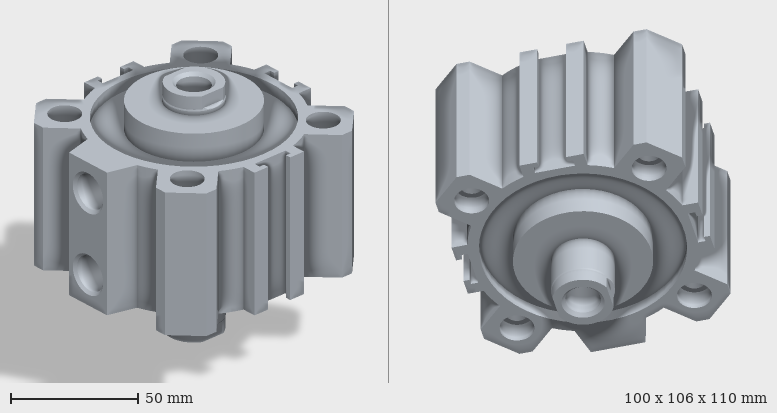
import cadquery as cq
import math


HOUSING_HEIGHT = 63.8
HOUSING_WIDTH = 100.0
CORE_RADIUS = 45.5
LUG_WIDTH = 23.8
LUG_TIP_FROM_AXIS = 62.6

BOLT_OFFSET = 36.0
BOLT_DIAMETER = 9.5
COUNTERBORE_DIAMETER = 13.8
COUNTERBORE_DEPTH = 8.8

RAIL_WIDTH = 26.1
SLOT_MOUTH_WIDTH = 11.7
SLOT_INNER_WIDTH = 16.3
SLOT_LIP_THICKNESS = 2.4
SLOT_DEPTH = 5.4

OVERALL_DEPTH = 106.0
PORT_FACE_FROM_AXIS = OVERALL_DEPTH - HOUSING_WIDTH / 2
PORT_FACE_WIDTH = 22.2
PORT_BLOCK_SIDE_ANGLE = 14.6
PORT_BLOCK_LENGTH = 17.6
PORT_DIAMETER = 15.4
PORT_DEPTH = 16.5
PORT_CHAMFER = 1.2
PORT_FROM_END = 13.6

RECESS_DIAMETER = 81.8
RECESS_DEPTH = 5.1
FLANGE_DIAMETER = 55.1
FLANGE_PROTRUSION = 7.5

ROD_LENGTH = 110.0
ROD_DIAMETER = 25.2
ROD_TOP_PROTRUSION = 15.7
ROD_END_DIAMETER = 24.6
ROD_END_LENGTH = 5.8
ROD_SHOULDER_HEIGHT = 0.7
FLATS_WIDTH = 22.0
FLATS_LENGTH = 5.5
FLATS_RUNOUT_ANGLE = 30.0
ROD_HOLE_DIAMETER = 14.1
ROD_HOLE_DEPTH = 19.8
ROD_HOLE_CHAMFER = 1.4
DRILL_POINT_ANGLE = 118.0

HOUSING_HALF = HOUSING_WIDTH / 2
ROD_RADIUS = ROD_DIAMETER / 2
ROD_TOP = HOUSING_HEIGHT + ROD_TOP_PROTRUSION
ROD_BOTTOM = ROD_TOP - ROD_LENGTH


def corner_lugs():
    """Two crossed diagonal bars, trimmed square to the housing width."""
    bars = cq.Workplane("XY")
    for angle in (45, 135):
        bar = (
            cq.Workplane("XY")
            .rect(2 * LUG_TIP_FROM_AXIS, LUG_WIDTH)
            .extrude(HOUSING_HEIGHT)
            .rotate((0, 0, 0), (0, 0, 1), angle)
        )
        bars = bars.add(bar)
    envelope = cq.Workplane("XY").rect(HOUSING_WIDTH, HOUSING_WIDTH).extrude(HOUSING_HEIGHT)
    return bars.combine().intersect(envelope)


def rail_bar():
    """Solid bar from the axis to the +X side of the housing."""
    return (
        cq.Workplane("XY")
        .center(HOUSING_HALF / 2, 0)
        .rect(HOUSING_HALF, RAIL_WIDTH)
        .extrude(HOUSING_HEIGHT)
    )


def rail_slot():
    """T-slot opening to the +X side of the housing."""
    inner_depth = SLOT_DEPTH - SLOT_LIP_THICKNESS
    mouth = (
        cq.Workplane("XY")
        .center(HOUSING_HALF - SLOT_DEPTH / 2, 0)
        .rect(SLOT_DEPTH, SLOT_MOUTH_WIDTH)
        .extrude(HOUSING_HEIGHT)
    )
    inner = (
        cq.Workplane("XY")
        .center(HOUSING_HALF - SLOT_DEPTH + inner_depth / 2, 0)
        .rect(inner_depth, SLOT_INNER_WIDTH)
        .extrude(HOUSING_HEIGHT)
    )
    return mouth.union(inner)


def port_block():
    """Block that widens from the port face and runs into the round core."""
    base_y = PORT_BLOCK_LENGTH - PORT_FACE_FROM_AXIS
    face_half = PORT_FACE_WIDTH / 2
    base_half = face_half + PORT_BLOCK_LENGTH * math.tan(math.radians(PORT_BLOCK_SIDE_ANGLE))
    outline = [
        (-face_half, -PORT_FACE_FROM_AXIS),
        (face_half, -PORT_FACE_FROM_AXIS),
        (base_half, base_y),
        (-base_half, base_y),
    ]
    return cq.Workplane("XY").polyline(outline).close().extrude(HOUSING_HEIGHT)


def port(z):
    """Blind port with a chamfered mouth, entering from the port face."""
    radius = PORT_DIAMETER / 2
    profile = [
        (0, 0),
        (radius + PORT_CHAMFER, 0),
        (radius, PORT_CHAMFER),
        (radius, PORT_DEPTH),
        (0, PORT_DEPTH),
    ]
    cutter = cq.Workplane("XY").polyline(profile).close().revolve(360, (0, 0, 0), (0, 1, 0))
    return cutter.translate((0, -PORT_FACE_FROM_AXIS, z))


def bolt_hole(x, y):
    """Through hole counterbored at both ends."""
    hole = cq.Workplane("XY").center(x, y).circle(BOLT_DIAMETER / 2).extrude(HOUSING_HEIGHT)
    for floor_z in (0, HOUSING_HEIGHT - COUNTERBORE_DEPTH):
        counterbore = (
            cq.Workplane("XY", origin=(x, y, floor_z))
            .circle(COUNTERBORE_DIAMETER / 2)
            .extrude(COUNTERBORE_DEPTH)
        )
        hole = hole.union(counterbore)
    return hole


def end_recess(floor_z):
    """Round recess that leaves a ring-shaped floor around each flange."""
    return (
        cq.Workplane("XY", origin=(0, 0, floor_z))
        .circle(RECESS_DIAMETER / 2)
        .extrude(RECESS_DEPTH)
    )


def make_housing():
    """Housing with its end flanges, bored through for the rod."""
    body = cq.Workplane("XY").circle(CORE_RADIUS).extrude(HOUSING_HEIGHT)
    body = body.union(corner_lugs()).union(port_block())

    for angle in (0, 90, 180):
        body = body.union(rail_bar().rotate((0, 0, 0), (0, 0, 1), angle))
    for angle in (0, 90, 180):
        body = body.cut(rail_slot().rotate((0, 0, 0), (0, 0, 1), angle))

    for x in (-BOLT_OFFSET, BOLT_OFFSET):
        for y in (-BOLT_OFFSET, BOLT_OFFSET):
            body = body.cut(bolt_hole(x, y))

    for z in (PORT_FROM_END, HOUSING_HEIGHT - PORT_FROM_END):
        body = body.cut(port(z))

    for floor_z in (0, HOUSING_HEIGHT - RECESS_DEPTH):
        body = body.cut(end_recess(floor_z))

    flanges = (
        cq.Workplane("XY", origin=(0, 0, -FLANGE_PROTRUSION))
        .circle(FLANGE_DIAMETER / 2)
        .extrude(HOUSING_HEIGHT + 2 * FLANGE_PROTRUSION)
    )
    rod_bore = (
        cq.Workplane("XY", origin=(0, 0, ROD_BOTTOM))
        .circle(ROD_RADIUS)
        .extrude(ROD_LENGTH)
    )
    return body.union(flanges).cut(rod_bore)


def rod_end_cutter():
    """Material removed at the rod's top end: both wrench flats and the drilled hole."""
    flat = FLATS_WIDTH / 2
    runout_width = ROD_DIAMETER - flat
    runout_drop = runout_width * math.tan(math.radians(FLATS_RUNOUT_ANGLE))
    flat_bottom = ROD_TOP - FLATS_LENGTH
    flat_profile = [
        (flat, ROD_TOP),
        (flat, flat_bottom),
        (flat + runout_width, flat_bottom - runout_drop),
        (flat + runout_width, ROD_TOP),
    ]
    flat_cut = cq.Workplane("XZ").polyline(flat_profile).close().extrude(ROD_RADIUS, both=True)

    hole_radius = ROD_HOLE_DIAMETER / 2
    point_length = hole_radius / math.tan(math.radians(DRILL_POINT_ANGLE / 2))
    hole_profile = [
        (0, ROD_TOP),
        (hole_radius + ROD_HOLE_CHAMFER, ROD_TOP),
        (hole_radius, ROD_TOP - ROD_HOLE_CHAMFER),
        (hole_radius, ROD_TOP - ROD_HOLE_DEPTH),
        (0, ROD_TOP - ROD_HOLE_DEPTH - point_length),
    ]
    hole = cq.Workplane("XZ").polyline(hole_profile).close().revolve(360, (0, 0, 0), (0, 1, 0))
    return hole.union(flat_cut).union(flat_cut.mirror("YZ"))


def make_rod():
    """Through rod with the same flats and drilled hole at both ends."""
    end_radius = ROD_END_DIAMETER / 2
    end_and_shoulder = ROD_END_LENGTH + ROD_SHOULDER_HEIGHT
    profile = [
        (0, ROD_BOTTOM),
        (end_radius, ROD_BOTTOM),
        (end_radius, ROD_BOTTOM + ROD_END_LENGTH),
        (ROD_RADIUS, ROD_BOTTOM + end_and_shoulder),
        (ROD_RADIUS, ROD_TOP - end_and_shoulder),
        (end_radius, ROD_TOP - ROD_END_LENGTH),
        (end_radius, ROD_TOP),
        (0, ROD_TOP),
    ]
    body = cq.Workplane("XZ").polyline(profile).close().revolve(360, (0, 0, 0), (0, 1, 0))
    top_cutter = rod_end_cutter()
    rod_middle = (0, 0, (ROD_TOP + ROD_BOTTOM) / 2)
    bottom_cutter = top_cutter.mirror("XY", rod_middle)
    return body.cut(top_cutter).cut(bottom_cutter)


housing = make_housing()
rod = make_rod()

result = cq.Compound.makeCompound([housing.solids().val(), rod.solids().val()])